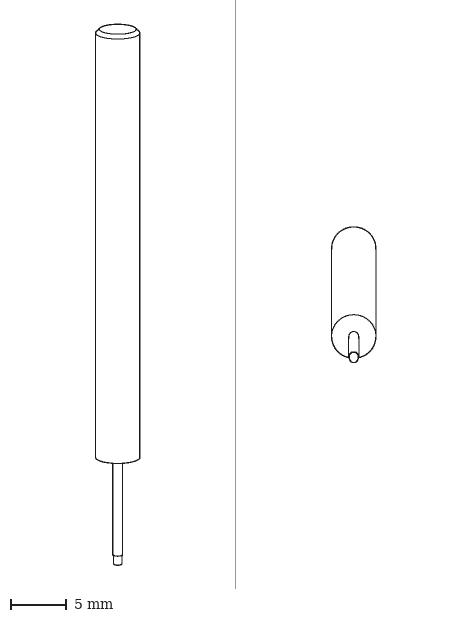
import cadquery as cq

total_length = 50.0
shank_diameter = 4.0
shank_length = 40.0
shank_chamfer = 0.35

tip_diameter = 0.8
tip_length = 0.9
tip_corner_radius = 0.15
neck_diameter = 0.9

neck_length = total_length - shank_length - tip_length


def make_tip():
    tip = cq.Workplane("XY").circle(tip_diameter / 2).extrude(tip_length)
    return tip.faces("<Z").edges().fillet(tip_corner_radius)


def make_neck():
    return cq.Workplane("XY", origin=(0, 0, tip_length)).circle(neck_diameter / 2).extrude(neck_length)


def make_shank():
    shank_base = tip_length + neck_length
    shank = cq.Workplane("XY", origin=(0, 0, shank_base)).circle(shank_diameter / 2).extrude(shank_length)
    return shank.faces(">Z").edges().chamfer(shank_chamfer)


result = make_tip().union(make_neck()).union(make_shank())